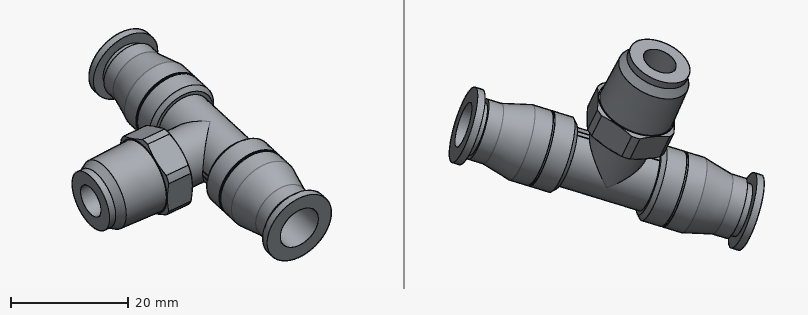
import cadquery as cq
import math

run_length = 52.5
tube_diameter = 10.55
bore_diameter = 6.0
socket_diameter = 8.0
body_diameter = 13.5

flange_end = 1.35
neck_end = 2.55
sleeve_end = 5.25
cone_end = 10.5
groove_start = 13.85
groove_width = 0.3
groove_depth = 0.15
collar_end = 18.6
collar_chamfer = 0.8
neck_diameter = 9.45
sleeve_diameter = 10.8

strip_width = 1.1
strip_reach = 5.35

overall_depth = 31.75
branch_length = overall_depth - body_diameter / 2
hex_start = 8.65
hex_end = 13.95
hex_across_flats = 14.0
hex_corner_diameter = 15.4
hex_bevel_diameter = 13.85
hex_bevel_length = 0.3
thread_start_diameter = 13.45
thread_end_diameter = 12.85
thread_end = 22.15
tip_start = 23.75
tip_diameter = 11.1


def push_in_end():
    """Solid of revolution about X for the end on the -X side."""
    outer_face = -run_length / 2
    body_radius = body_diameter / 2
    groove_end = groove_start + groove_width
    profile = [
        (0, 0),
        (0, body_radius),
        (flange_end, body_radius),
        (flange_end, neck_diameter / 2),
        (neck_end, neck_diameter / 2),
        (neck_end, sleeve_diameter / 2),
        (sleeve_end, sleeve_diameter / 2),
        (cone_end, body_radius),
        (groove_start, body_radius),
        (groove_start, body_radius - groove_depth),
        (groove_end, body_radius - groove_depth),
        (groove_end, body_radius),
        (collar_end - collar_chamfer, body_radius),
        (collar_end, body_radius - collar_chamfer),
        (collar_end, 0),
    ]
    points = [(outer_face + distance, radius) for distance, radius in profile]
    return cq.Workplane("XY").polyline(points).close().revolve(360, (0, 0, 0), (1, 0, 0))


def branch_cylinder(diameter, start, end):
    """Cylinder on the branch axis between two distances from the tube axis."""
    return cq.Workplane("XZ").workplane(offset=start).circle(diameter / 2).extrude(end - start)


def hex_nut():
    """Hexagon with flats facing +X and -X, corners turned round and both ends bevelled."""
    width = hex_end - hex_start
    prism = (
        cq.Workplane("XZ")
        .workplane(offset=hex_start)
        .transformed(rotate=(0, 0, 90))
        .polygon(6, hex_across_flats / math.cos(math.pi / 6))
        .extrude(width)
    )
    bevel_height = (hex_corner_diameter - hex_bevel_diameter) / 2
    turned = branch_cylinder(hex_corner_diameter, hex_start, hex_end)
    turned = turned.faces(">Y").chamfer(hex_bevel_length, bevel_height)
    turned = turned.faces("<Y").chamfer(hex_bevel_length, bevel_height)
    return prism.intersect(turned)


def threaded_end():
    """Slightly tapered thread envelope with a lead-in cone and a short tip."""
    profile = [
        (0, -hex_end),
        (thread_start_diameter / 2, -hex_end),
        (thread_end_diameter / 2, -thread_end),
        (tip_diameter / 2, -tip_start),
        (tip_diameter / 2, -branch_length),
        (0, -branch_length),
    ]
    return cq.Workplane("XY").polyline(profile).close().revolve(360, (0, 0, 0), (0, 1, 0))


def run_cylinder(diameter, start, end):
    """Cylinder on the tube axis between two X positions."""
    return cq.Workplane("YZ").workplane(offset=start).circle(diameter / 2).extrude(end - start)


left_end = push_in_end()
tube_half_length = run_length / 2 - collar_end
body = run_cylinder(tube_diameter, -tube_half_length, tube_half_length)
strip = cq.Workplane("XY").box(
    2 * tube_half_length, strip_reach, strip_width, centered=(True, False, True)
)
body = body.union(strip.translate((0, -strip_reach, 0)))
body = body.union(left_end).union(left_end.mirror("YZ"))
body = body.union(branch_cylinder(tube_diameter, 0, hex_start))
body = body.union(hex_nut()).union(threaded_end())

socket_depth = collar_end - collar_chamfer
socket = run_cylinder(socket_diameter, -run_length / 2, socket_depth - run_length / 2)
body = body.cut(run_cylinder(bore_diameter, -run_length / 2, run_length / 2))
body = body.cut(branch_cylinder(bore_diameter, 0, branch_length))
result = body.cut(socket).cut(socket.mirror("YZ"))